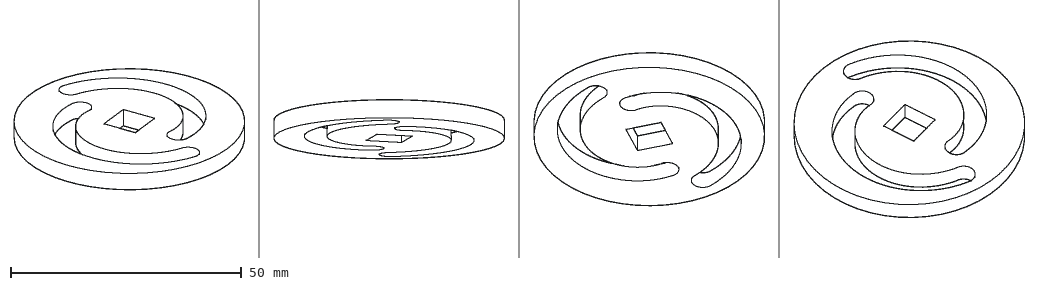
import cadquery as cq
import math

disc_diameter = 50.0
thickness = 4.0
square_side = 8.0
slot_width = 5.0
slot_start_radius = 12.5
slot_end_radius = 19.65
slot_sweep = 162.0
slot_count = 2
spline_spans = 12


def spiral_edge(offset):
    """Points of an Archimedean spiral shifted radially from the slot centerline."""
    points = []
    for i in range(spline_spans + 1):
        fraction = i / spline_spans
        radius = slot_start_radius + offset + fraction * (slot_end_radius - slot_start_radius)
        angle = math.radians(slot_sweep * fraction)
        points.append((radius * math.cos(angle), radius * math.sin(angle)))
    return points


def spiral_slot():
    """Through cutter for one spiral slot with round ends."""
    half_width = slot_width / 2
    inner = spiral_edge(-half_width)
    outer = spiral_edge(half_width)
    end_angle = math.radians(slot_sweep)
    end_x = slot_end_radius * math.cos(end_angle)
    end_y = slot_end_radius * math.sin(end_angle)
    start_tip = (slot_start_radius, -half_width)
    end_tip = (end_x - half_width * math.sin(end_angle), end_y + half_width * math.cos(end_angle))
    return (
        cq.Workplane("XY")
        .moveTo(*inner[0])
        .spline(inner[1:], includeCurrent=True)
        .threePointArc(end_tip, outer[-1])
        .spline(outer[-2::-1], includeCurrent=True)
        .threePointArc(start_tip, inner[0])
        .close()
        .extrude(thickness)
    )


result = cq.Workplane("XY").circle(disc_diameter / 2).extrude(thickness)
result = result.cut(cq.Workplane("XY").rect(square_side, square_side).extrude(thickness))

slot = spiral_slot()
for i in range(slot_count):
    result = result.cut(slot.rotate((0, 0, 0), (0, 0, 1), i * 360 / slot_count))